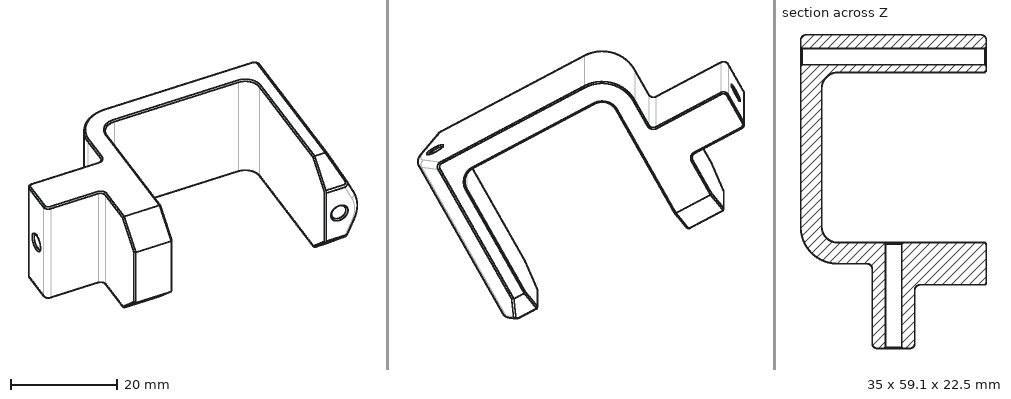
import cadquery as cq
import math

length_x = 35.0
length_y = 59.15
height = 22.5
wall = 4.0

stem_length = 12.0
thick_arm = 8.0
gap = 32.0
thick_arm_inner_y = stem_length + thick_arm
thin_arm_outer_y = thick_arm_inner_y - wall
far_arm_inner_y = thick_arm_inner_y + gap

stem_width = 8.05
stem_center_x = length_x / 2
stem_left_x = stem_center_x - stem_width / 2
stem_right_x = stem_center_x + stem_width / 2

inner_radius = 2.95
outer_radius = inner_radius + wall
small_radius = 1.0
edge_break = 0.3
end_corner = 5.0

peak_radius = 7.7
peak_angle = math.radians(24.4)

hole_diameter = 3.0
arm_hole_inset = 3.0
arm_hole_y = far_arm_inner_y + arm_hole_inset

select_margin = 0.05

angle_tolerance = 0.01


def edge_at(x, y):
    """Selector for the upright edge that passes through (x, y)."""
    return cq.selectors.BoxSelector(
        (x - select_margin, y - select_margin, -select_margin),
        (x + select_margin, y + select_margin, select_margin),
    )


def make_body():
    """Extruded hook outline with its upright corners rounded."""
    outline = [
        (0, length_y),
        (0, thin_arm_outer_y),
        (stem_left_x, thin_arm_outer_y),
        (stem_left_x, 0),
        (stem_right_x, 0),
        (stem_right_x, stem_length),
        (length_x, stem_length),
        (length_x, thick_arm_inner_y),
        (wall, thick_arm_inner_y),
        (wall, far_arm_inner_y),
        (length_x, far_arm_inner_y),
        (length_x, length_y),
    ]
    body = cq.Workplane("XY").polyline(outline).close().extrude(height / 2, both=True)
    body = body.edges(edge_at(0, thin_arm_outer_y)).fillet(outer_radius)
    for y in (thick_arm_inner_y, far_arm_inner_y):
        body = body.edges(edge_at(wall, y)).fillet(inner_radius)
    stem_corners = [
        (stem_left_x, thin_arm_outer_y),
        (stem_left_x, 0),
        (stem_right_x, 0),
        (stem_right_x, stem_length),
    ]
    for x, y in stem_corners:
        body = body.edges(edge_at(x, y)).fillet(small_radius)
    return body


def end_profile():
    """Side plate with both corners at the free end cut at 45 degrees."""
    return (
        cq.Workplane("XY")
        .box(length_x, length_y, height, centered=(False, False, True))
        .edges(">X and |Y")
        .chamfer(end_corner)
    )


def peak_profile():
    """Side plate whose +Y end slopes to a rounded peak."""
    tangent_z = peak_radius * math.sin(peak_angle)
    tangent_y = length_y - peak_radius * (1 - math.cos(peak_angle))
    shoulder_y = tangent_y - (height / 2 - tangent_z) * math.tan(peak_angle)
    return (
        cq.Workplane("YZ")
        .moveTo(0, -height / 2)
        .lineTo(shoulder_y, -height / 2)
        .lineTo(tangent_y, -tangent_z)
        .threePointArc((length_y, 0), (tangent_y, tangent_z))
        .lineTo(shoulder_y, height / 2)
        .lineTo(0, height / 2)
        .close()
        .extrude(length_x)
    )


def round_peak_ends(body):
    """Round the peaked outer face into the back wall and into the free end."""
    peak_region = cq.selectors.BoxSelector(
        (-select_margin, far_arm_inner_y + select_margin, -height),
        (length_x + select_margin, length_y + select_margin, height),
    )
    return body.edges("(<X or >X) and (not |Y)").edges(peak_region).fillet(small_radius)


def is_rim_face(face):
    """True for the flat top and bottom faces and for the 45-degree corner cuts."""
    if face.geomType() != "PLANE":
        return False
    normal = face.normalAt()
    return abs(normal.y) < angle_tolerance and abs(normal.z) > angle_tolerance


def is_end_fold(edge):
    """True for the straight Y edges where a 45-degree cut meets its neighbours."""
    along_y = abs(edge.tangentAt(0.5).y) > 1 - angle_tolerance
    return along_y and edge.Center().x > length_x - end_corner - select_margin


def break_edges(body):
    """Chamfer the rims of all side faces, leaving the folds at the free ends sharp."""
    rim_edges = body.edges("|Z and >X").vals()
    for face in filter(is_rim_face, body.faces().vals()):
        rim_edges += [edge for edge in face.Edges() if not is_end_fold(edge)]
    return body.newObject(rim_edges).chamfer(edge_break)


def hole_cutter(depth):
    """Drill standing on the origin along +Y, with a chamfered rim at each end."""
    hole_radius = hole_diameter / 2
    rim_radius = hole_radius + edge_break
    half_section = [
        (0, 0),
        (rim_radius, 0),
        (hole_radius, edge_break),
        (hole_radius, depth - edge_break),
        (rim_radius, depth),
        (0, depth),
    ]
    return cq.Workplane("XY").polyline(half_section).close().revolve(360, (0, 0), (0, 1))


bracket = make_body().intersect(end_profile()).intersect(peak_profile())
bracket = break_edges(round_peak_ends(bracket))

stem_hole = hole_cutter(thick_arm_inner_y).translate((stem_center_x, 0, 0))
arm_hole = hole_cutter(length_x).rotate((0, 0, 0), (0, 0, 1), -90).translate((0, arm_hole_y, 0))

result = bracket.cut(stem_hole).cut(arm_hole)